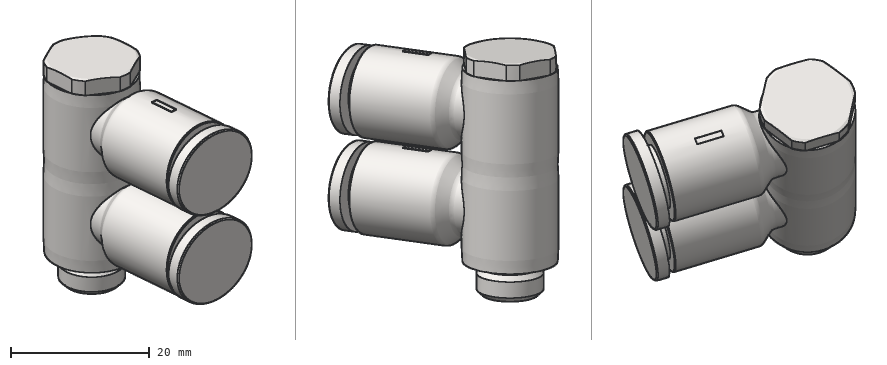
import cadquery as cq
import math

lobe_height = 14.5
lobe_count = 2
body_radius = 7.0
lobe_taper_height = 2.0
lobe_end_radius = 6.9
body_height = lobe_count * lobe_height

head_height = 2.5
head_across_flats = 13.0
head_chamfer_height = 0.15
head_top_radius = head_across_flats / 2

stud_length = 5.0
stud_radius = 4.864
undercut_radius = 4.1
undercut_root_radius = 4.3
undercut_root_taper = 0.5
undercut_length = 1.0
stud_lead_in = 0.8
stud_end_chamfer = 0.8

first_tube_z = 8.0
neck_radius = 5.0
neck_end_x = 6.95
tube_radius = 6.8
tube_start_x = 9.1
tube_end_x = 22.6
tube_end_chamfer = 0.15
shoulder_blend_radius = 1.0

collar_radius = 4.8
flange_start_x = 23.65
flange_end_x = 25.6
flange_width = 15.0
flange_height = 13.0
flange_chamfer = 0.2

mark_start_x = 12.95
mark_length = 4.05
mark_width = 1.0
mark_rise = 0.1


def make_lobe(base_z):
    """Cylinder with a slight taper at both ends."""
    profile = [
        (0, 0),
        (lobe_end_radius, 0),
        (body_radius, lobe_taper_height),
        (body_radius, lobe_height - lobe_taper_height),
        (lobe_end_radius, lobe_height),
        (0, lobe_height),
    ]
    lobe = cq.Workplane("XZ").polyline(profile).close().revolve(360, (0, 0), (0, 1))
    return lobe.translate((0, 0, base_z))


def make_head():
    """Hexagon with two flats facing +/-Y, its corners turned round and chamfered."""
    across_corners = head_across_flats / math.cos(math.pi / 6)
    hexagon = cq.Workplane("XY").polygon(6, across_corners).extrude(head_height)
    envelope_profile = [
        (0, 0),
        (body_radius, 0),
        (body_radius, head_height - head_chamfer_height),
        (head_top_radius, head_height),
        (0, head_height),
    ]
    envelope = cq.Workplane("XZ").polyline(envelope_profile).close().revolve(360, (0, 0), (0, 1))
    return hexagon.intersect(envelope).translate((0, 0, body_height))


def make_stud():
    """Stud with a tapered undercut root, a conical lead-in and an end chamfer."""
    profile = [
        (0, 0),
        (undercut_root_radius, 0),
        (undercut_radius, -undercut_root_taper),
        (undercut_radius, -undercut_length),
        (stud_radius, -undercut_length - stud_lead_in),
        (stud_radius, -stud_length + stud_end_chamfer),
        (stud_radius - stud_end_chamfer, -stud_length),
        (0, -stud_length),
    ]
    return cq.Workplane("XZ").polyline(profile).close().revolve(360, (0, 0), (0, 1))


def make_tube():
    """Neck, conical shoulder and tube on the X axis, with both shoulder corners blended."""
    profile = [
        (0, 0),
        (0, neck_radius),
        (neck_end_x, neck_radius),
        (tube_start_x, tube_radius),
        (tube_end_x, tube_radius),
        (tube_end_x, 0),
    ]
    tube = cq.Workplane("XZ").polyline(profile).close().revolve(360, (0, 0), (1, 0))
    corner_tolerance = 0.01
    for corner_x in (neck_end_x, tube_start_x):
        corner = cq.selectors.BoxSelector(
            (corner_x - corner_tolerance, -body_radius, -body_radius),
            (corner_x + corner_tolerance, body_radius, body_radius),
        )
        tube = tube.edges("%CIRCLE").edges(corner).fillet(shoulder_blend_radius)
    return tube.faces(">X").chamfer(tube_end_chamfer)


def make_release_ring():
    """Round collar carrying an elliptical flange that is wider in Y than in Z."""
    collar = cq.Workplane("YZ", origin=(tube_end_x, 0, 0)).circle(collar_radius)
    collar = collar.extrude(flange_start_x - tube_end_x)
    flange = cq.Workplane("YZ", origin=(flange_start_x, 0, 0))
    flange = flange.ellipse(flange_width / 2, flange_height / 2)
    flange = flange.extrude(flange_end_x - flange_start_x)
    flange = flange.faces(">X").chamfer(flange_chamfer)
    return collar.union(flange)


def make_mark():
    """Flat-topped rectangular mark, sunk into the tube so that it joins solidly."""
    mark_top = tube_radius + mark_rise
    mark = cq.Workplane("XY").box(mark_length, mark_width, mark_top, centered=(False, True, False))
    return mark.translate((mark_start_x, 0, 0))


tube_assembly = make_tube().union(make_release_ring()).union(make_mark())

result = make_stud()
for lobe_index in range(lobe_count):
    lobe_base_z = lobe_index * lobe_height
    result = result.union(make_lobe(lobe_base_z))
    result = result.union(tube_assembly.translate((0, 0, lobe_base_z + first_tube_z)))
result = result.union(make_head())